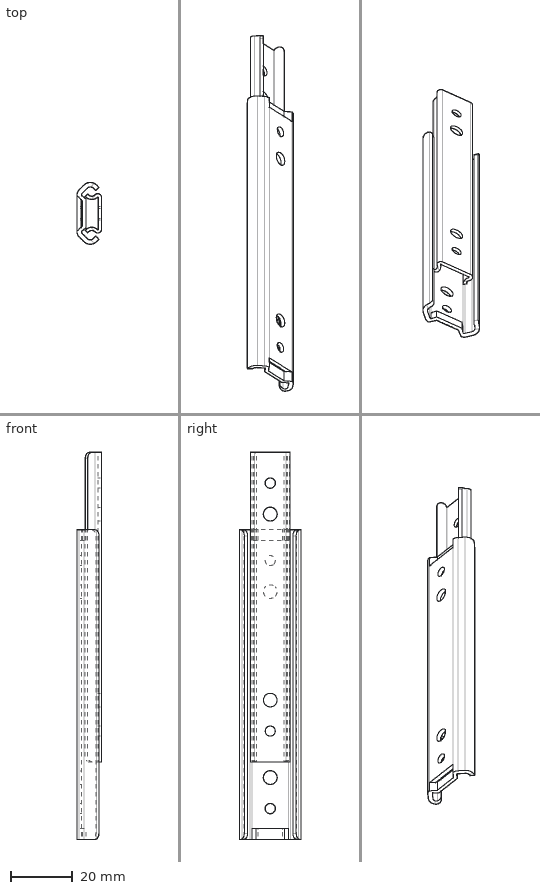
import cadquery as cq
import math

RAIL_LENGTH = 100.0
EXTENSION = 25.0
OVERALL_DEPTH = 8.0

SMALL_HOLE_DIAMETER = 3.2
LARGE_HOLE_DIAMETER = 4.4
SMALL_HOLE_INSET = 10.0
LARGE_HOLE_INSET = 20.0

LIP_CORNER_RADIUS = 2.0

OUTER_SHEET = 1.5
OUTER_HALF_WIDTH = 10.0
OUTER_WEB_HALF = 5.9
OUTER_WEB_BEND = 2.4
OUTER_LIP_BEND = 2.9
OUTER_LIP_TIP = 1.1

INNER_SHEET = 1.1
INNER_HALF_WIDTH = 6.4
INNER_WEB_BEND = 1.2
INNER_GROOVE_RADIUS = 1.5
INNER_LIP_TIP = 0.4

STOP_HEIGHT = 3.5
STOP_OFFSET = 1.8
STOP_SHEET = 1.2
STOP_FLAT_HALF = 4.0

BEND_ANGLE = 45.0


def bent_strip(start, heading, sheet, steps):
    """Section of a bent sheet, with the point and heading where its outer face ends.

    The outer face begins at `start`, and the sheet lies to the right of the
    direction of travel. A step is either ("line", length) or
    ("bend", outer face radius, turn angle); a positive angle turns to the left.
    """
    x, y = start

    def right_of(point, angle, distance):
        a = math.radians(angle)
        return (point[0] + distance * math.sin(a), point[1] - distance * math.cos(a))

    outer = [((x, y), heading)]
    pieces = []
    for step in steps:
        (x, y), angle = outer[-1]
        if step[0] == "line":
            a = math.radians(angle)
            end = ((x + step[1] * math.cos(a), y + step[1] * math.sin(a)), angle)
            pieces.append(None)
        else:
            radius, turn = step[1:]
            side = math.copysign(radius, turn)
            center = right_of((x, y), angle, -side)
            middle = angle + turn / 2
            pieces.append((right_of(center, middle, side), middle))
            end = (right_of(center, angle + turn, side), angle + turn)
        outer.append(end)

    section = cq.Workplane("XY").moveTo(*outer[0][0])
    for piece, (point, _) in zip(pieces, outer[1:]):
        if piece is None:
            section = section.lineTo(*point)
        else:
            section = section.threePointArc(piece[0], point)
    section = section.lineTo(*right_of(*outer[-1], sheet))
    for piece, node in zip(reversed(pieces), reversed(outer[:-1])):
        if piece is None:
            section = section.lineTo(*right_of(*node, sheet))
        else:
            section = section.threePointArc(right_of(*piece, sheet), right_of(*node, sheet))
    return section.close(), outer[-1]


def both_halves(half):
    """Complete a rail from its +Y half."""
    return half.union(half.mirror("XZ")).clean()


def mounting_holes():
    """Round cutters through the web, near both ends of a rail."""
    holes = cq.Workplane("YZ")
    sizes = ((SMALL_HOLE_DIAMETER, SMALL_HOLE_INSET), (LARGE_HOLE_DIAMETER, LARGE_HOLE_INSET))
    for diameter, inset in sizes:
        places = [(0, inset), (0, RAIL_LENGTH - inset)]
        drill = cq.Workplane("YZ").pushPoints(places).circle(diameter / 2).extrude(OVERALL_DEPTH)
        holes = holes.add(drill)
    return holes.combine()


def lip_corner_cutter(tip, heading, sheet):
    """Waste outside a rounded corner at each end of a lip, cut square to its sheet."""
    a = math.radians(heading)
    plane = cq.Plane(
        origin=(*tip, 0), xDir=(math.cos(a), math.sin(a), 0), normal=(math.sin(a), -math.cos(a), 0)
    )
    radius = LIP_CORNER_RADIUS
    arc_inset = radius * (1 - math.cos(math.radians(45)))
    lower = (
        cq.Workplane(plane)
        .moveTo(-radius, 0)
        .lineTo(0, 0)
        .lineTo(0, radius)
        .threePointArc((-arc_inset, arc_inset), (-radius, 0))
        .close()
        .extrude(sheet + radius, both=True)
    )
    upper = lower.mirror("XY").translate((0, 0, RAIL_LENGTH))
    return lower.union(upper)


def formed_rail(sheet, steps):
    """Symmetric channel with its web on X = 0, rounded lip ends and mounting holes."""
    section, (tip, heading) = bent_strip((0, 0), 90, sheet, steps)
    half = section.extrude(RAIL_LENGTH).cut(lip_corner_cutter(tip, heading, sheet))
    return both_halves(half).cut(mounting_holes())


def end_stop():
    """Web tab displaced inward, joined to the web by a sloping side at each edge."""
    half = [
        (0, OUTER_WEB_HALF),
        (STOP_OFFSET, STOP_FLAT_HALF),
        (STOP_OFFSET, 0),
        (STOP_OFFSET + STOP_SHEET, 0),
        (STOP_OFFSET + STOP_SHEET, STOP_FLAT_HALF + STOP_SHEET / 2),
        (OUTER_SHEET, OUTER_WEB_HALF),
    ]
    return both_halves(cq.Workplane("XY").polyline(half).close().extrude(STOP_HEIGHT))


def make_outer_rail():
    turned = math.radians(BEND_ANGLE)
    bend_rise = OUTER_WEB_BEND * math.sin(turned) + OUTER_LIP_BEND * (1 - math.cos(turned))
    slope_rise = OUTER_HALF_WIDTH - OUTER_WEB_HALF - bend_rise
    steps = [
        ("line", OUTER_WEB_HALF),
        ("bend", OUTER_WEB_BEND, -BEND_ANGLE),
        ("line", slope_rise / math.sin(turned)),
        ("bend", OUTER_LIP_BEND, -2 * BEND_ANGLE),
        ("line", OUTER_LIP_TIP),
    ]
    rail = formed_rail(OUTER_SHEET, steps)

    for bottom in (0, RAIL_LENGTH - STOP_HEIGHT):
        window = cq.Workplane("XY").box(
            OUTER_SHEET, 2 * OUTER_WEB_HALF, STOP_HEIGHT, centered=(False, True, False)
        )
        rail = rail.cut(window.translate((0, 0, bottom)))
        rail = rail.union(end_stop().translate((0, 0, bottom)))
    return rail


def make_inner_rail():
    steps = [
        ("line", INNER_HALF_WIDTH - INNER_WEB_BEND),
        ("bend", INNER_WEB_BEND, -90 - BEND_ANGLE),
        ("bend", INNER_GROOVE_RADIUS, 2 * BEND_ANGLE),
        ("line", INNER_LIP_TIP),
    ]
    rail = formed_rail(INNER_SHEET, steps).mirror("YZ")
    return rail.translate((OVERALL_DEPTH, 0, EXTENSION))


outer_rail = make_outer_rail()
inner_rail = make_inner_rail()

result = cq.Compound.makeCompound([outer_rail.solids().val(), inner_rail.solids().val()])